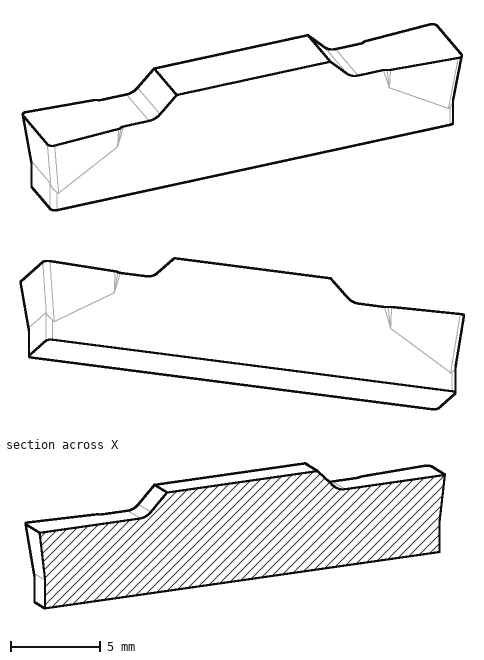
import cadquery as cq
import math

total_length = 25.22
total_height = 5.79
body_width = 3.2
head_width = 4.05

deck_height = 4.5
front_relief_foot = 1.67
front_relief_slope = math.tan(math.radians(7))
side_taper_slope = math.tan(math.radians(4))
side_relief_slope = math.tan(math.radians(6.6))
corner_radius = 0.3
head_length = 4.33
head_root_height = 0.4
run_out_length = 0.37

middle_length = 9.36
ramp_angle = 45
ramp_fillet_radius = 0.95

body_half_width = body_width / 2
tip_y = total_length / 2
body_end_y = tip_y - front_relief_slope * (deck_height - front_relief_foot)
head_back_y = tip_y - head_length

tip_half_width = head_width / 2 + side_taper_slope * corner_radius


def flank_half_width(y, z):
    """Half width of the head between its two inclined flanks."""
    return tip_half_width - side_taper_slope * (tip_y - y) - side_relief_slope * (deck_height - z)


def make_body():
    """Straight bar with a raised middle and rounded vertical end edges."""
    middle_half = middle_length / 2
    ramp_foot_y = middle_half + (total_height - deck_height) / math.tan(math.radians(ramp_angle))
    outline = [
        (-body_end_y, 0),
        (body_end_y, 0),
        (body_end_y, deck_height),
        (ramp_foot_y, deck_height),
        (middle_half, total_height),
        (-middle_half, total_height),
        (-ramp_foot_y, deck_height),
        (-body_end_y, deck_height),
    ]
    body = cq.Workplane("YZ").polyline(outline).close().extrude(body_half_width, both=True)
    body = body.edges("|Z").edges("<Y or >Y").fillet(corner_radius)
    pick = 0.01
    for side in (-1, 1):
        foot_edge = cq.selectors.BoxSelector(
            (-body_width, side * ramp_foot_y - pick, deck_height - pick),
            (body_width, side * ramp_foot_y + pick, deck_height + pick),
        )
        body = body.edges(foot_edge).fillet(ramp_fillet_radius)
    return body


def head_section(z):
    """Corner points of the head outline at height z."""
    front_y = tip_y - front_relief_slope * (deck_height - z)
    front_x = flank_half_width(front_y, z)
    back_x = flank_half_width(head_back_y, z)
    return [(-front_x, front_y), (front_x, front_y), (back_x, head_back_y), (-back_x, head_back_y)]


def make_head():
    """Wedge-shaped cutting end, relieved on its front and both flanks."""
    head = (
        cq.Workplane("XY", origin=(0, 0, head_root_height))
        .polyline(head_section(head_root_height))
        .close()
        .workplane(offset=deck_height - head_root_height)
        .polyline(head_section(deck_height))
        .close()
        .loft(ruled=True)
    )
    return head.faces(">Y").edges("not |X").fillet(corner_radius)


def make_run_out():
    """Tapering S-shaped transition behind the +X flank, ending in a point on the body side."""
    top_x = flank_half_width(head_back_y, deck_height)
    step = top_x - body_half_width
    apex_z = deck_height - step / side_relief_slope
    end_y = head_back_y - run_out_length
    middle = cq.Vector((top_x + body_half_width) / 2, head_back_y - run_out_length / 2, deck_height)
    start = cq.Vector(top_x, head_back_y, deck_height)
    end = cq.Vector(body_half_width, end_y, deck_height)
    inner_x = body_half_width / 2
    inner_end = cq.Vector(inner_x, end_y, deck_height)
    inner_start = cq.Vector(inner_x, head_back_y, deck_height)
    along = cq.Vector(-side_taper_slope, -1, 0)
    first_arc = cq.Edge.makeTangentArc(start, along, middle)
    second_arc = cq.Edge.makeTangentArc(middle, first_arc.tangentAt(1), end)
    lines = [
        cq.Edge.makeLine(end, inner_end),
        cq.Edge.makeLine(inner_end, inner_start),
        cq.Edge.makeLine(inner_start, start),
    ]
    outline = cq.Wire.assembleEdges([first_arc, second_arc] + lines)
    apex = cq.Vertex.makeVertex(body_half_width, head_back_y, apex_z)
    return cq.Workplane(cq.occ_impl.shapes.loft(outline, apex, cap=True, ruled=True))


def make_part():
    """Body with one flared head at each end."""
    run_out = make_run_out()
    head = make_head().union(run_out).union(run_out.mirror("YZ"))
    return make_body().union(head).union(head.mirror("XZ"))


result = make_part()